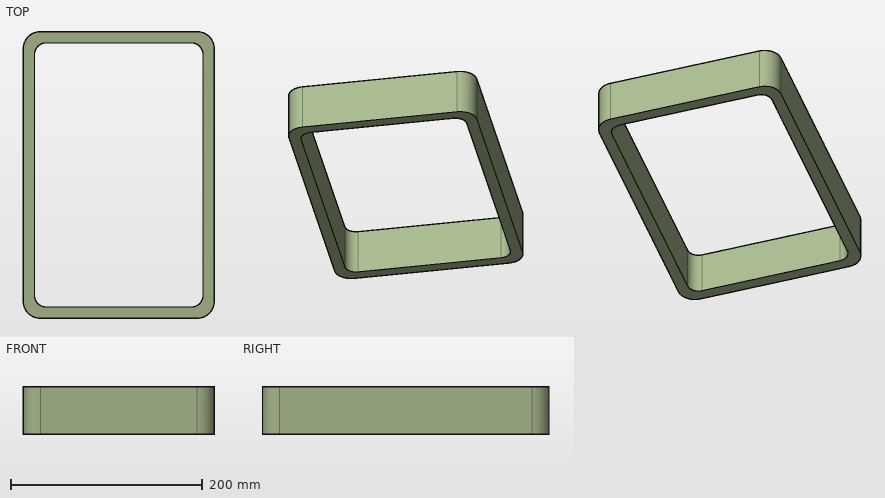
import cadquery as cq

width = 200.0
depth = 300.0
height = 50.0
wall = 12.0
outer_radius = 1.5 * wall
inner_radius = wall


def rounded_block(size_x, size_y, corner_radius):
    """Upright block centred on the Z axis, with its four vertical edges rounded."""
    block = cq.Workplane("XY").rect(size_x, size_y).extrude(height)
    return block.edges("|Z").fillet(corner_radius)


outer_body = rounded_block(width, depth, outer_radius)
opening = rounded_block(width - 2 * wall, depth - 2 * wall, inner_radius)

result = outer_body.cut(opening)